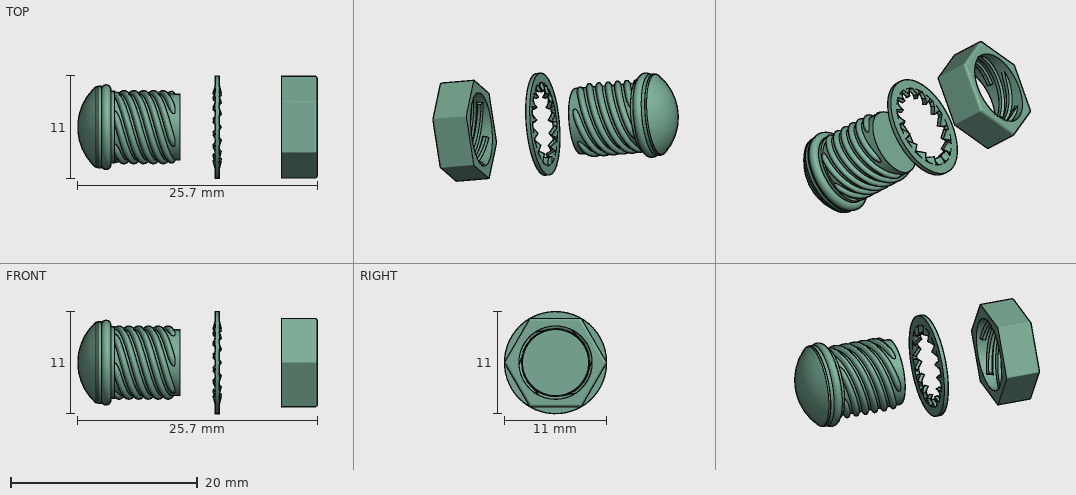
import cadquery as cq
import math


DOME_HEIGHT = 1.95
LENS_RADIUS = 4.35
LENS_BACK_X = 2.15

BEZEL_RADIUS = 4.4
RIM_FRONT_X = 2.55
RIM_RADIUS = 4.55
RIM_ROUND = 0.51
COLLAR_RADIUS = 3.85
COLLAR_END_X = 3.93
STEM_RADIUS = 3.55
STEM_END_X = 10.95

STARTS = 6
LEAD = 6.31
FLANK_ANGLE = 30
RUNOUT_ANGLE = 21
STATION_ANGLE = 8

STEM_RIDGE_HEIGHT = 0.39
STEM_RIDGE_ROUND = 0.25
STEM_RIDGE_BURIED = 0.08
STEM_RIDGE_X = 4.25
STEM_RIDGE_START_ANGLE = 21
STEM_RIDGE_SWEEP = 324

WASHER_X = 14.95
WASHER_THICKNESS = 0.45
WASHER_RADIUS = 5.48
WASHER_HOLE_RADIUS = 4.47
TOOTH_COUNT = 16
TOOTH_TIP_RADIUS = 3.65
TOOTH_ROOT_WIDTH = 1.33
TOOTH_TIP_WIDTH = 1.0
TOOTH_TIP_THICKNESS = 0.39
TOOTH_TWIST = 38
FIRST_TOOTH_ANGLE = -4.4

NUT_FRONT_X = 21.82
NUT_LENGTH = 3.85
NUT_ACROSS_FLATS = 9.5
NUT_CORNER_ROUND = 0.1
NUT_BACK_ROUND = 0.3
NUT_BORE_RADIUS = 3.93

NUT_RIDGE_WIDTH = 0.72
NUT_RIDGE_HEIGHT = 0.3
NUT_RIDGE_BURIED = 0.1
NUT_RIDGE_X = 22.56
NUT_RIDGE_START_ANGLE = -4
NUT_RIDGE_SWEEP = 107


def axial_disc(radius, start_x, end_x):
    """Cylinder about the X axis."""
    return cq.Workplane("YZ", origin=(start_x, 0, 0)).circle(radius).extrude(end_x - start_x)


def about_axis(shape, angle):
    """Turn a shape about the X axis."""
    return shape.rotate(cq.Vector(0, 0, 0), cq.Vector(1, 0, 0), angle)


def with_copies(body, feature, count, first_angle):
    """Join evenly spaced copies of a feature to a body, all in one operation."""
    copies = [about_axis(feature, first_angle + number * 360 / count) for number in range(count)]
    return cq.Workplane(body.val().fuse(*copies))


def helix_plane(x, angle, radius):
    """Plane square to the thread helix, with its local X pointing away from the axis."""
    turn = math.radians(angle)
    outward = cq.Vector(0, math.cos(turn), math.sin(turn))
    around = cq.Vector(0, -math.sin(turn), math.cos(turn))
    along = around * (2 * math.pi * radius) + cq.Vector(LEAD, 0, 0)
    return cq.Plane(origin=cq.Vector(x, 0, 0) + outward * radius, xDir=outward, normal=along)


def thread_ridge(section, radius, start_x, start_turn, end_turn, full_turn, sink):
    """Ridge along the helix, as one loft through sections square to it.

    It holds its section from angle zero to full_turn. Beyond these it runs out: it keeps
    following the helix and sinks into the wall, slowly at first and fastest at its tip.
    """
    spans = math.ceil((end_turn - start_turn) / STATION_ANGLE)
    wires = []
    for station in range(spans + 1):
        turn = start_turn + (end_turn - start_turn) * station / spans
        runout = max(0, -turn, turn - full_turn) / RUNOUT_ANGLE
        plane = helix_plane(start_x + LEAD * turn / 360, turn, radius + sink * runout**2)
        wires.append(section(plane))
    return cq.Solid.makeLoft(wires)


def make_lens():
    sphere_radius = (LENS_RADIUS**2 + DOME_HEIGHT**2) / (2 * DOME_HEIGHT)
    sphere = cq.Workplane("XY", origin=(sphere_radius, 0, 0)).sphere(sphere_radius)
    return axial_disc(LENS_RADIUS, 0, LENS_BACK_X).intersect(sphere)


def stem_ridge_section(plane):
    flank = math.radians(FLANK_ANGLE)
    crest_centre = STEM_RIDGE_HEIGHT - STEM_RIDGE_ROUND
    tangent_x = crest_centre + STEM_RIDGE_ROUND * math.sin(flank)
    tangent_y = STEM_RIDGE_ROUND * math.cos(flank)
    foot_y = tangent_y + (tangent_x + STEM_RIDGE_BURIED) * math.tan(flank)
    outline = (
        cq.Workplane(plane)
        .moveTo(-STEM_RIDGE_BURIED, -foot_y)
        .lineTo(tangent_x, -tangent_y)
        .threePointArc((STEM_RIDGE_HEIGHT, 0), (tangent_x, tangent_y))
        .lineTo(-STEM_RIDGE_BURIED, foot_y)
        .close()
    )
    return outline.val()


def make_housing():
    rim_end_x = RIM_FRONT_X + 2 * RIM_ROUND
    rim_round_start = RIM_RADIUS - RIM_ROUND
    profile = (
        cq.Workplane("XY")
        .moveTo(LENS_BACK_X, 0)
        .lineTo(LENS_BACK_X, BEZEL_RADIUS)
        .lineTo(RIM_FRONT_X, BEZEL_RADIUS)
        .lineTo(RIM_FRONT_X, rim_round_start)
        .threePointArc((RIM_FRONT_X + RIM_ROUND, RIM_RADIUS), (rim_end_x, rim_round_start))
        .lineTo(rim_end_x, COLLAR_RADIUS)
        .lineTo(COLLAR_END_X, COLLAR_RADIUS)
        .lineTo(COLLAR_END_X, STEM_RADIUS)
        .lineTo(STEM_END_X, STEM_RADIUS)
        .lineTo(STEM_END_X, 0)
        .close()
    )
    housing = profile.revolve(360, (0, 0, 0), (1, 0, 0))

    ridge = thread_ridge(
        stem_ridge_section,
        STEM_RADIUS,
        STEM_RIDGE_X,
        start_turn=-RUNOUT_ANGLE,
        end_turn=STEM_RIDGE_SWEEP + RUNOUT_ANGLE,
        full_turn=STEM_RIDGE_SWEEP,
        sink=-STEM_RIDGE_HEIGHT,
    )
    return with_copies(housing, ridge, STARTS, STEM_RIDGE_START_ANGLE)


def washer_tooth():
    """Tooth on the +Y side that twists about its own radial axis from root to tip."""
    root = cq.Plane(origin=(WASHER_X, WASHER_HOLE_RADIUS, 0), xDir=(1, 0, 0), normal=(0, -1, 0))
    reach = WASHER_HOLE_RADIUS - TOOTH_TIP_RADIUS
    return (
        cq.Workplane(root)
        .rect(WASHER_THICKNESS, TOOTH_ROOT_WIDTH)
        .workplane(offset=reach)
        .transformed(rotate=(0, 0, -TOOTH_TWIST))
        .rect(TOOTH_TIP_THICKNESS, TOOTH_TIP_WIDTH)
        .loft(ruled=True)
    )


def make_washer():
    front_x = WASHER_X - WASHER_THICKNESS / 2
    back_x = WASHER_X + WASHER_THICKNESS / 2
    washer = axial_disc(WASHER_RADIUS, front_x, back_x)
    washer = washer.cut(axial_disc(WASHER_HOLE_RADIUS, front_x, back_x))
    return with_copies(washer, washer_tooth().val(), TOOTH_COUNT, FIRST_TOOTH_ANGLE)


def nut_ridge_section(plane):
    foot_y = NUT_RIDGE_WIDTH / 2
    crest_y = foot_y - NUT_RIDGE_HEIGHT * math.tan(math.radians(FLANK_ANGLE))
    corners = [
        (-NUT_RIDGE_HEIGHT, -crest_y),
        (-NUT_RIDGE_HEIGHT, crest_y),
        (0, foot_y),
        (NUT_RIDGE_BURIED, foot_y),
        (NUT_RIDGE_BURIED, -foot_y),
        (0, -foot_y),
    ]
    return cq.Wire.makePolygon([plane.toWorldCoords(corner) for corner in corners], close=True)


def make_nut():
    across_corners = NUT_ACROSS_FLATS / math.cos(math.pi / 6)
    nut = cq.Workplane("YZ", origin=(NUT_FRONT_X, 0, 0)).polygon(6, across_corners).extrude(NUT_LENGTH)
    nut = nut.faces(">X").edges().fillet(NUT_BACK_ROUND).edges("|X").fillet(NUT_CORNER_ROUND)
    nut = nut.cut(axial_disc(NUT_BORE_RADIUS, NUT_FRONT_X, NUT_FRONT_X + NUT_LENGTH))

    ridge = thread_ridge(
        nut_ridge_section,
        NUT_BORE_RADIUS,
        NUT_RIDGE_X,
        start_turn=0,
        end_turn=NUT_RIDGE_SWEEP + RUNOUT_ANGLE,
        full_turn=NUT_RIDGE_SWEEP,
        sink=NUT_RIDGE_HEIGHT,
    )
    return with_copies(nut, ridge, STARTS, NUT_RIDGE_START_ANGLE)


lens = make_lens()
housing = make_housing()
washer = make_washer()
nut = make_nut()

result = cq.Compound.makeCompound([body.solids().val() for body in (lens, housing, washer, nut)])